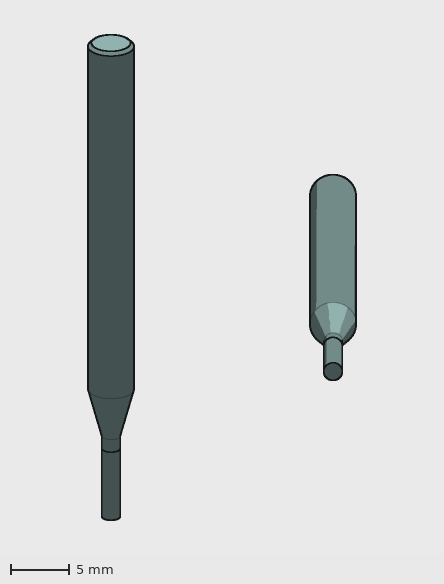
import cadquery as cq

total_length = 45.0
shank_diameter = 4.0
tip_diameter = 1.6
cutting_length = 6.5
neck_top = 7.7
taper_top = 12.15
shank_chamfer = 0.3

shank_radius = shank_diameter / 2
tip_radius = tip_diameter / 2


def make_cutting_tip():
    """Plain cylinder that envelops the cutting length."""
    return cq.Workplane("XY").circle(tip_radius).extrude(cutting_length)


def make_shank():
    """Neck, taper and chamfered shank, revolved as one body above the cutting tip."""
    return (
        cq.Workplane("XZ")
        .moveTo(0, cutting_length)
        .lineTo(tip_radius, cutting_length)
        .lineTo(tip_radius, neck_top)
        .lineTo(shank_radius, taper_top)
        .lineTo(shank_radius, total_length - shank_chamfer)
        .lineTo(shank_radius - shank_chamfer, total_length)
        .lineTo(0, total_length)
        .close()
        .revolve(360, (0, 0, 0), (0, 1, 0))
    )


cutting_tip = make_cutting_tip()
shank = make_shank()

result = cq.Compound.makeCompound([cutting_tip.val(), shank.val()])